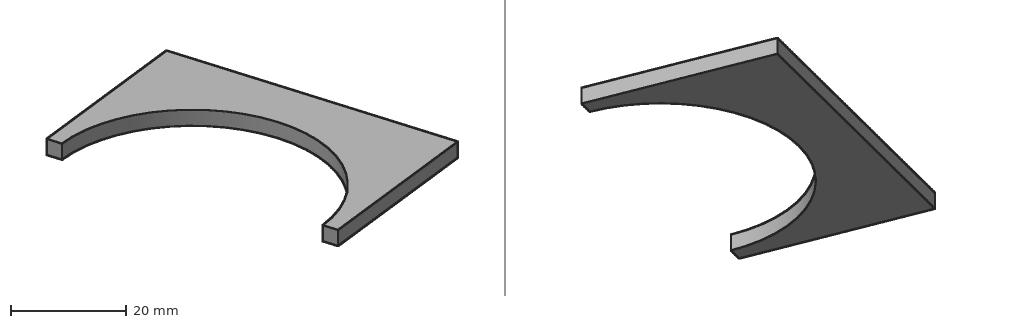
import cadquery as cq

length = 60.3
width = 38.1
thickness = 3.2
arm_width = 3.2

arch_radius = length / 2 - arm_width

plate = cq.Workplane("XY").box(length, width, thickness, centered=(True, False, False))

arch_cutter = cq.Workplane("XY").circle(arch_radius).extrude(thickness)

result = plate.cut(arch_cutter)